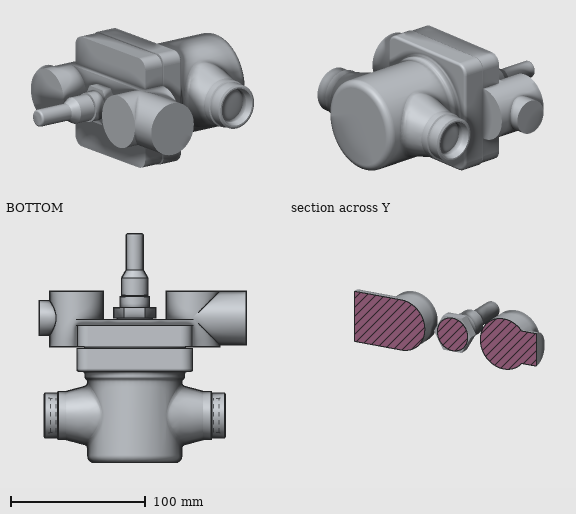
import cadquery as cq
import math


body_radius = 70.0 / 2
body_back = 86.0
body_edge_radius = 5.1

collar_radius = 74.0 / 2
collar_front_rim = 20.0
collar_back_rim = 22.0
collar_foot_fillet = 1.5
collar_swell_angle = 50
collar_flank_length = 0.3

flange_size = 86.0
flange_front = 1.0
flange_back = collar_front_rim - collar_foot_fillet
flange_edge_fillet = 2.0
corner_radius = 8.0
gasket_radius = 75.0 / 2
block_size = 85.0
block_front = -15.8

plate_front = -20.5
plate_length = 86.5

port_axis_y = 50.9
port_end_x = 67.5
port_end_radius = 33.7 / 2
port_end_chamfer_length = 0.9
port_face_radius = 15.3
port_step_x = 57.4
port_step_length = 0.7
port_collar_radius = 36.0 / 2
port_cone_x = 50.9
port_cone_angle = 15
port_root_x = 20.5
port_root_fillet = 3.0
bore_radius = 25.0 / 2
bore_mouth_radius = 14.22
bore_taper_depth = 5.0
bore_depth = 9.0

pipe_radius = 40.0 / 2
pipe_spacing = 86.5
pipe_front = -41.5
cross_pipe_y = pipe_front + pipe_radius
elbow_end_x = 83.0
stub_radius = 26.0 / 2
stub_end_x = -71.0

washer_radius = 26.0 / 2
washer_front = -21.5
hex_across_flats = 27.0
hex_front = -29.3
thread_radius = 22.0 / 2
thread_front = -37.5
neck_radius = 14.5 / 2
neck_front = -38.3
shoulder_radius = 20.0 / 2
shoulder_front = -51.0
pin_radius = 13.0 / 2
pin_start = -57.2
pin_front = -84.3
pin_tip_fillet = 1.7


def y_cylinder(radius, y_front, y_back, x=0):
    """Cylinder along Y between two Y positions."""
    return cq.Workplane("XZ", origin=(x, y_back, 0)).circle(radius).extrude(y_back - y_front)


def x_cylinder(radius, x_start, x_end, y):
    """Cylinder along X between two X positions."""
    return cq.Workplane("YZ", origin=(x_start, y, 0)).circle(radius).extrude(x_end - x_start)


def y_box(x_size, z_size, y_front, y_back):
    """Box centred on the Y axis between two Y positions."""
    return cq.Workplane("XZ", origin=(0, y_back, 0)).rect(x_size, z_size).extrude(y_back - y_front)


def make_body():
    """Round body with a rounded back rim, swelling through a smooth S-shape into the collar."""
    sweep = math.radians(collar_swell_angle)
    flank_rise = collar_flank_length * math.tan(sweep)
    arc_rise = (collar_radius - body_radius - flank_rise) / 2
    arc_radius = arc_rise / (1 - math.cos(sweep))
    arc_length_y = arc_radius * math.sin(sweep)
    mid_bulge = arc_radius * (1 - math.cos(sweep / 2))
    mid_y = arc_radius * math.sin(sweep / 2)
    flank_front_y = collar_back_rim + arc_length_y
    flank_back_y = flank_front_y + collar_flank_length
    body_rim_y = flank_back_y + arc_length_y
    foot_radius = collar_radius + collar_foot_fillet
    foot_mid = collar_foot_fillet * (1 - math.sqrt(0.5))
    edge_mid = body_edge_radius * (1 - math.sqrt(0.5))
    profile = (
        cq.Workplane("XY")
        .moveTo(0, flange_back)
        .lineTo(foot_radius, flange_back)
        .threePointArc(
            (collar_radius + foot_mid, flange_back + foot_mid),
            (collar_radius, collar_front_rim),
        )
        .lineTo(collar_radius, collar_back_rim)
        .threePointArc(
            (collar_radius - mid_bulge, collar_back_rim + mid_y),
            (collar_radius - arc_rise, flank_front_y),
        )
        .lineTo(body_radius + arc_rise, flank_back_y)
        .threePointArc(
            (body_radius + mid_bulge, body_rim_y - mid_y),
            (body_radius, body_rim_y),
        )
        .lineTo(body_radius, body_back - body_edge_radius)
        .threePointArc(
            (body_radius - edge_mid, body_back - edge_mid),
            (body_radius - body_edge_radius, body_back),
        )
        .lineTo(0, body_back)
        .close()
    )
    return profile.revolve(360, (0, 0), (0, 1))


def revolve_port(points, side):
    """Revolve (x, radius) points about the port axis on the given side (+1 or -1)."""
    outline = [(side * x, radius) for x, radius in points]
    return (
        cq.Workplane("XY", origin=(0, port_axis_y, 0))
        .polyline(outline)
        .close()
        .revolve(360, (0, 0), (1, 0))
    )


def make_port(side):
    """Tapered port with a stepped spigot."""
    slope = math.tan(math.radians(port_cone_angle))
    root_radius = port_collar_radius + (port_cone_x - port_root_x) * slope
    points = [
        (port_root_x, 0),
        (port_root_x, root_radius),
        (port_cone_x, port_collar_radius),
        (port_step_x - port_step_length, port_collar_radius),
        (port_step_x, port_end_radius),
        (port_end_x - port_end_chamfer_length, port_end_radius),
        (port_end_x, port_face_radius),
        (port_end_x, 0),
    ]
    return revolve_port(points, side)


def make_bore(side):
    """Blind bore of a port with a tapered mouth."""
    points = [
        (port_end_x, 0),
        (port_end_x, bore_mouth_radius),
        (port_end_x - bore_taper_depth, bore_radius),
        (port_end_x - bore_depth, bore_radius),
        (port_end_x - bore_depth, 0),
    ]
    return revolve_port(points, side)


def make_housing():
    """Body and both ports, with the port roots filleted and the bores cut."""
    housing = make_body()
    for side in (-1, 1):
        housing = housing.union(make_port(side))
    housing = housing.edges("%BSPLINE").fillet(port_root_fillet)
    for side in (-1, 1):
        housing = housing.cut(make_bore(side))
    return housing


def make_flange_stack():
    """Rounded square flange, round gasket, rounded square block and front plate."""
    flange = y_box(flange_size, flange_size, flange_front, flange_back)
    flange = flange.edges("|Y").fillet(corner_radius)
    flange = flange.faces(">Y").edges().fillet(flange_edge_fillet)
    gasket = y_cylinder(gasket_radius, 0, flange_front)
    block = y_box(block_size, block_size, block_front, 0)
    block = block.edges("|Y").fillet(corner_radius)
    plate = y_box(plate_length, 2 * pipe_radius, plate_front, block_front)
    return flange.union(gasket).union(block).union(plate)


def make_pipes():
    """Two front pipes, the left one with a small stub and the right one with an elbow."""
    pipe_x = pipe_spacing / 2
    left_pipe = y_cylinder(pipe_radius, pipe_front, 0, -pipe_x)
    stub = x_cylinder(stub_radius, stub_end_x, -pipe_x, cross_pipe_y)
    right_pipe = y_cylinder(pipe_radius, pipe_front, 0, pipe_x)
    elbow = x_cylinder(pipe_radius, pipe_x, elbow_end_x, cross_pipe_y)
    return left_pipe.union(stub).union(right_pipe.union(elbow))


def make_stem():
    """Washer, hexagon nut and stepped stem ending in a rounded pin."""
    washer = y_cylinder(washer_radius, washer_front, plate_front)
    hex_across_corners = hex_across_flats / math.cos(math.radians(30))
    nut = (
        cq.Workplane("XZ", origin=(0, washer_front, 0))
        .polygon(6, hex_across_corners)
        .extrude(washer_front - hex_front)
    )
    thread = y_cylinder(thread_radius, thread_front, hex_front)
    tip_mid = pin_tip_fillet * (1 - math.sqrt(0.5))
    pin = (
        cq.Workplane("XY")
        .moveTo(0, thread_front)
        .lineTo(neck_radius, thread_front)
        .lineTo(neck_radius, neck_front)
        .lineTo(shoulder_radius, neck_front)
        .lineTo(shoulder_radius, shoulder_front)
        .lineTo(pin_radius, pin_start)
        .lineTo(pin_radius, pin_front + pin_tip_fillet)
        .threePointArc(
            (pin_radius - tip_mid, pin_front + tip_mid),
            (pin_radius - pin_tip_fillet, pin_front),
        )
        .lineTo(0, pin_front)
        .close()
        .revolve(360, (0, 0), (0, 1))
    )
    return washer.union(nut).union(thread).union(pin)


result = make_housing().union(make_flange_stack()).union(make_pipes()).union(make_stem())